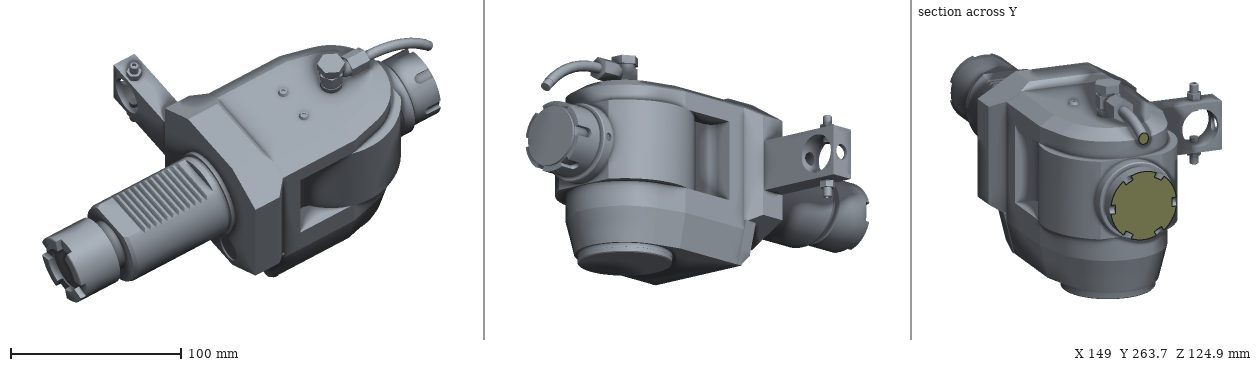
import cadquery as cq
import math


OVERLAP = 1.0

FLANGE_HALF_WIDTH = 47.0
FLANGE_HALF_HEIGHT = 44.0
FLANGE_DEPTH = 25.0
FLANGE_CORNER_RUN = 24.0
FLANGE_CORNER_DROP = FLANGE_CORNER_RUN * math.tan(math.radians(30))
RECESS_RADIUS = 8.7
RECESS_X = 18.5
RECESS_Z = -32.3
RECESS_DEPTH = 1.0

HOUSING_HALF_WIDTH = 39.0
HOUSING_TOP = 40.0
HOUSING_BOTTOM = -59.6
HOUSING_FRONT = 16.4
HOUSING_SIDE_END = 76.0
HOUSING_END_RADIUS = 35.0
TOP_BEVEL_HEIGHT = 5.5
TOP_BEVEL_ANGLE = 60.0
LOWER_TAPER_TOP = -39.0
LOWER_TAPER_ANGLE = 14.0
FOOT_TOP = -33.4
FOOT_PROUD = 0.4
FOOT_CHAMFER = 6.3
COLUMN_Y = 86.0

COLUMN_RADIUS = 41.0
COLUMN_HALF_HEIGHT = 23.9
COLUMN_BACK = 122.0
POCKET_FRONT = 37.6
POCKET_FILLET = 5.6
POCKET_FLOOR_X = 24.0
POCKET_FLOOR_END = 50.3
POCKET_ARC_END_Y = 53.5

BOSS_RADIUS = 28.0
BOSS_BOTTOM = -65.1
BOSS_CHAMFER = 0.6
BOSS_SEAM_Z = -62.1
BOSS_LIP = 0.15

COLLAR_RADIUS = 26.4
COLLAR_LENGTH = 2.5
RELIEF_RADIUS = 24.4
RELIEF_END = -4.1
SHANK_RADIUS = 25.0
SHANK_END = -71.0
SHANK_CHAMFER_LENGTH = 2.4
SHANK_CHAMFER_DEPTH = 0.9
FLAT_Z = 20.0
FLAT_START = -7.8
TOOTH_COUNT = 12
TOOTH_PITCH = 4.0
FIRST_TOOTH_Y = -14.0
TOOTH_WIDTH = 2.8
TOOTH_DEPTH = 1.6

NUT_RADIUS = 21.1
NECK_RADIUS = 15.5
NECK_FLARE_START = -74.0
NECK_FLARE_RADIUS = 17.5
FRONT_NUT_BACK = -78.5
FRONT_NUT_END = -106.0
FRONT_NUT_CHAMFER = 0.5
FRONT_NUT_BORE = 14.0
FRONT_NUT_BORE_DEPTH = 4.5
FRONT_NOTCH_DEPTH = 3.6
FRONT_NOTCH_HALF_ANGLE = 16.0
FRONT_NOTCH_COUNT = 4

NOSE_COLLAR_RADIUS = 23.5
NOSE_COLLAR_END = 130.0
NOSE_COLLAR_CHAMFER = 0.6
NOSE_GROOVE_RADIUS = 20.3
REAR_NUT_START = 131.4
REAR_NUT_SHOULDER = 149.7
REAR_NUT_END = 151.2
REAR_NUT_FACE_RADIUS = 17.7
REAR_SLOT_COUNT = 6
REAR_SLOT_WIDTH = 6.0
REAR_SLOT_BOTTOM = 138.6
REAR_SLOT_DEPTH = 3.0
COLLAR_HOLE_Y = 126.0
COLLAR_HOLE_RADIUS = 2.5
COLLAR_HOLE_DEPTH = 1.5

ARM_END_X = -102.0
ARM_HALF_HEIGHT = 15.0
ARM_FRONT = 1.0
ARM_BACK = 16.0
ARM_BORE_X = -88.2
ARM_BORE_RADIUS = 11.5
ARM_SIDE_HOLE_Y = 9.0
ARM_SIDE_HOLE_RADIUS = 4.6
ARM_FAR_HOLE_RADIUS = 4.0
ARM_FAR_HOLE_DEPTH = 8.0
ARM_PILOT_RADIUS = 1.6
ARM_PILOT_DEPTH = 3.0
STUD_Y = 6.2
STUD_RADIUS = 2.6
STUD_INNER = 8.2
STUD_OUTER = 24.7
STUD_CHAMFER = 0.5
STUD_SOCKET_FLATS = 2.5
STUD_SOCKET_DEPTH = 2.0
STUD_NUT_WIDTH = 9.0
STUD_NUT_HEIGHT = 4.1

FITTING_BASE_RADIUS = 6.5
FITTING_BASE_TOP = 43.4
FITTING_NECK_RADIUS = 6.2
FITTING_BODY_BOTTOM = 45.4
FITTING_BODY_TOP = 52.7
FITTING_BODY_FLATS = 12.9
FITTING_HEAD_BOTTOM = 55.0
FITTING_HEAD_TOP = 59.8
FITTING_HEAD_FLATS = 14.2
OUTLET_Z = 49.0
OUTLET_RADIUS = 5.3
OUTLET_START = 91.0
OUTLET_FILLET = 4.0
OUTLET_NUT_START = 97.2
OUTLET_NUT_END = 109.6
OUTLET_NUT_FLATS = 12.0
HOSE_RADIUS = 3.2
HOSE_BEND_START = 111.6
HOSE_BEND_ANGLE = 49.8
HOSE_REACH = 157.67
HOSE_SEAM_FROM_END = 4.5
HOSE_TIP_RADIUS = 3.0

SCREW_X = 10.8
SCREW_Y = 59.3
SCREW_RADIUS = 3.1
SCREW_TOP_RADIUS = 2.2
SCREW_HEIGHT = 1.6
SCREW_SOCKET_FLATS = 2.5
SCREW_SOCKET_DEPTH = 0.8


def box(x0, x1, y0, y1, z0, z1):
    """Axis-aligned block between two corners."""
    return cq.Workplane("XY").box(x1 - x0, y1 - y0, z1 - z0, centered=False).translate((x0, y0, z0))


def cylinder_y(radius, y0, y1, x=0.0, z=0.0):
    """Cylinder along +Y from y0 to y1."""
    return cq.Workplane(cq.Solid.makeCylinder(radius, y1 - y0, cq.Vector(x, y0, z), cq.Vector(0, 1, 0)))


def cylinder_z(radius, z0, z1, x=0.0, y=0.0):
    """Cylinder along +Z from z0 to z1."""
    return cq.Workplane(cq.Solid.makeCylinder(radius, z1 - z0, cq.Vector(x, y, z0), cq.Vector(0, 0, 1)))


def cylinder_x(radius, x0, x1, y, z=0.0):
    """Cylinder along +X from x0 to x1."""
    return cq.Workplane(cq.Solid.makeCylinder(radius, x1 - x0, cq.Vector(x0, y, z), cq.Vector(1, 0, 0)))


def hexagon_z(corner_diameter, z0, z1, x, y, turn=0.0):
    """Upright hexagonal prism; its corners lie along X unless it is turned."""
    prism = cq.Workplane("XY").polygon(6, corner_diameter).extrude(z1 - z0)
    return prism.rotate((0, 0, 0), (0, 0, 1), turn).translate((x, y, z0))


def over_corners(flats):
    """Corner-to-corner size of a hexagon from its size across flats."""
    return flats / math.cos(math.radians(30))


def revolve_about_y(points):
    """Solid of revolution about the Y axis from (radius, y) points."""
    return cq.Workplane("XY").polyline(points).close().revolve(360, (0, 0, 0), (0, 1, 0))


def make_flange():
    w = FLANGE_HALF_WIDTH
    h = FLANGE_HALF_HEIGHT
    side_z = h - FLANGE_CORNER_DROP
    top_x = w - FLANGE_CORNER_RUN
    octagon = [
        (-w, -side_z), (-top_x, -h), (top_x, -h), (w, -side_z),
        (w, side_z), (top_x, h), (-top_x, h), (-w, side_z),
    ]
    flange = cq.Workplane("XZ").polyline(octagon).close().extrude(-FLANGE_DEPTH)
    side_bevel = w - HOUSING_HALF_WIDTH
    top_bevel = h - HOUSING_TOP
    plan = [
        (-w, 0), (w, 0), (w, FLANGE_DEPTH - side_bevel), (w - side_bevel, FLANGE_DEPTH),
        (side_bevel - w, FLANGE_DEPTH), (-w, FLANGE_DEPTH - side_bevel),
    ]
    profile = [
        (0, -h), (FLANGE_DEPTH - top_bevel, -h), (FLANGE_DEPTH, top_bevel - h),
        (FLANGE_DEPTH, h - top_bevel), (FLANGE_DEPTH - top_bevel, h), (0, h),
    ]
    flange = flange.intersect(cq.Workplane("XY").polyline(plan).close().extrude(h, both=True))
    return flange.intersect(cq.Workplane("YZ").polyline(profile).close().extrude(w, both=True))


def housing_outline(z, front):
    """Plan outline: parallel sides, then tangent flanks running into a round end."""
    side_back = HOUSING_SIDE_END - COLUMN_Y
    corner_distance = math.hypot(HOUSING_HALF_WIDTH, side_back)
    tangent_angle = math.acos(HOUSING_END_RADIUS / corner_distance)
    tangent_angle += math.atan2(side_back, HOUSING_HALF_WIDTH)
    tangent_x = HOUSING_END_RADIUS * math.cos(tangent_angle)
    tangent_y = COLUMN_Y + HOUSING_END_RADIUS * math.sin(tangent_angle)
    return (
        cq.Workplane("XY", origin=(0, 0, z))
        .moveTo(-HOUSING_HALF_WIDTH, front)
        .lineTo(HOUSING_HALF_WIDTH, front)
        .lineTo(HOUSING_HALF_WIDTH, HOUSING_SIDE_END)
        .lineTo(tangent_x, tangent_y)
        .threePointArc((0, COLUMN_Y + HOUSING_END_RADIUS), (-tangent_x, tangent_y))
        .lineTo(-HOUSING_HALF_WIDTH, HOUSING_SIDE_END)
        .close()
    )


def make_upper_housing():
    bevel_z = HOUSING_TOP - TOP_BEVEL_HEIGHT
    straight = housing_outline(LOWER_TAPER_TOP, HOUSING_FRONT).extrude(bevel_z - LOWER_TAPER_TOP)
    bevel_run = TOP_BEVEL_HEIGHT * math.tan(math.radians(TOP_BEVEL_ANGLE))
    cap = housing_outline(bevel_z, HOUSING_FRONT - bevel_run).extrude(TOP_BEVEL_HEIGHT, taper=TOP_BEVEL_ANGLE)
    return straight.union(cap)


def make_lower_housing():
    height = LOWER_TAPER_TOP - HOUSING_BOTTOM
    return (
        housing_outline(-LOWER_TAPER_TOP, HOUSING_FRONT)
        .extrude(height, taper=LOWER_TAPER_ANGLE)
        .mirror("XY")
    )


def make_foot():
    """Block under the flange whose flanks follow the lower taper and whose front edge is chamfered."""
    slope = math.tan(math.radians(LOWER_TAPER_ANGLE))
    top_x = HOUSING_HALF_WIDTH + FOOT_PROUD + (FOOT_TOP - LOWER_TAPER_TOP) * slope
    bottom_x = top_x - (FOOT_TOP - HOUSING_BOTTOM) * slope
    trapezoid = [
        (-top_x, FOOT_TOP), (top_x, FOOT_TOP),
        (bottom_x, HOUSING_BOTTOM), (-bottom_x, HOUSING_BOTTOM),
    ]
    foot = (
        cq.Workplane("XZ", origin=(0, HOUSING_FRONT, 0))
        .polyline(trapezoid)
        .close()
        .extrude(HOUSING_FRONT - FLANGE_DEPTH)
    )
    return foot.faces("<Y").edges("<Z").chamfer(FOOT_CHAMFER)


def pocket_band():
    """Block over the column height, holding everything behind the pocket front wall."""
    reach = COLUMN_RADIUS + OVERLAP
    return box(-reach, reach, POCKET_FRONT, COLUMN_BACK + OVERLAP, -COLUMN_HALF_HEIGHT, COLUMN_HALF_HEIGHT)


def make_column():
    """Round column with a web that joins it to the front wall of the side pockets."""
    column = cylinder_z(COLUMN_RADIUS, -COLUMN_HALF_HEIGHT, COLUMN_HALF_HEIGHT, 0, COLUMN_Y)
    column = column.intersect(
        box(-COLUMN_RADIUS, COLUMN_RADIUS, COLUMN_Y - COLUMN_RADIUS, COLUMN_BACK,
            -COLUMN_HALF_HEIGHT, COLUMN_HALF_HEIGHT)
    )
    arc_end_x = math.sqrt(COLUMN_RADIUS**2 - (COLUMN_Y - POCKET_ARC_END_Y)**2)
    fillet_x = POCKET_FLOOR_X + POCKET_FILLET
    fillet_y = POCKET_FRONT + POCKET_FILLET
    mid = POCKET_FILLET * math.sqrt(0.5)
    web = (
        cq.Workplane("XY", origin=(0, 0, -COLUMN_HALF_HEIGHT))
        .moveTo(0, POCKET_FRONT)
        .lineTo(fillet_x, POCKET_FRONT)
        .threePointArc((fillet_x - mid, fillet_y - mid), (POCKET_FLOOR_X, fillet_y))
        .lineTo(POCKET_FLOOR_X, POCKET_FLOOR_END)
        .lineTo(arc_end_x, POCKET_ARC_END_Y)
        .lineTo(0, COLUMN_Y)
        .close()
        .extrude(2 * COLUMN_HALF_HEIGHT)
    )
    return column.union(web).union(web.mirror("YZ"))


def make_boss():
    upper = cylinder_z(BOSS_RADIUS, BOSS_SEAM_Z, HOUSING_BOTTOM + OVERLAP, 0, COLUMN_Y)
    lip = cylinder_z(BOSS_RADIUS - BOSS_LIP, BOSS_BOTTOM, BOSS_SEAM_Z, 0, COLUMN_Y)
    return upper.union(lip.faces("<Z").chamfer(BOSS_CHAMFER))


def make_shank():
    shank = revolve_about_y([
        (0, OVERLAP), (COLLAR_RADIUS, OVERLAP), (COLLAR_RADIUS, -COLLAR_LENGTH),
        (RELIEF_RADIUS, -COLLAR_LENGTH), (RELIEF_RADIUS, RELIEF_END),
        (SHANK_RADIUS, RELIEF_END), (SHANK_RADIUS, SHANK_END + SHANK_CHAMFER_LENGTH),
        (SHANK_RADIUS - SHANK_CHAMFER_DEPTH, SHANK_END), (0, SHANK_END),
    ])
    shank = shank.cut(box(-SHANK_RADIUS, SHANK_RADIUS, SHANK_END, FLAT_START, FLAT_Z, SHANK_RADIUS))
    half = TOOTH_WIDTH / 2
    for i in range(TOOTH_COUNT):
        y = FIRST_TOOTH_Y - i * TOOTH_PITCH
        valley = [(y - half, FLAT_Z), (y, FLAT_Z - TOOTH_DEPTH), (y + half, FLAT_Z)]
        shank = shank.cut(cq.Workplane("YZ").polyline(valley).close().extrude(SHANK_RADIUS, both=True))
    return shank


def make_front_nut():
    nut = revolve_about_y([
        (0, SHANK_END + OVERLAP), (NECK_RADIUS, SHANK_END + OVERLAP), (NECK_RADIUS, NECK_FLARE_START),
        (NECK_FLARE_RADIUS, FRONT_NUT_BACK), (NUT_RADIUS, FRONT_NUT_BACK),
        (NUT_RADIUS, FRONT_NUT_END + FRONT_NUT_CHAMFER), (NUT_RADIUS - FRONT_NUT_CHAMFER, FRONT_NUT_END),
        (0, FRONT_NUT_END),
    ])
    nut = nut.cut(cylinder_y(FRONT_NUT_BORE, FRONT_NUT_END, FRONT_NUT_END + FRONT_NUT_BORE_DEPTH))
    reach = NUT_RADIUS + OVERLAP
    half_width = reach * math.tan(math.radians(FRONT_NOTCH_HALF_ANGLE))
    notch = (
        cq.Workplane("XZ", origin=(0, FRONT_NUT_END, 0))
        .polyline([(0, 0), (reach, -half_width), (reach, half_width)])
        .close()
        .extrude(-FRONT_NOTCH_DEPTH)
    )
    for i in range(FRONT_NOTCH_COUNT):
        nut = nut.cut(notch.rotate((0, 0, 0), (0, 1, 0), i * 360 / FRONT_NOTCH_COUNT))
    return nut


def make_nose():
    """Spindle collar and slotted clamping nut at the rear."""
    nose = revolve_about_y([
        (0, COLUMN_BACK - OVERLAP), (NOSE_COLLAR_RADIUS - NOSE_COLLAR_CHAMFER, COLUMN_BACK - OVERLAP),
        (NOSE_COLLAR_RADIUS - NOSE_COLLAR_CHAMFER, COLUMN_BACK),
        (NOSE_COLLAR_RADIUS, COLUMN_BACK + NOSE_COLLAR_CHAMFER),
        (NOSE_COLLAR_RADIUS, NOSE_COLLAR_END - NOSE_COLLAR_CHAMFER),
        (NOSE_COLLAR_RADIUS - NOSE_COLLAR_CHAMFER, NOSE_COLLAR_END), (NOSE_GROOVE_RADIUS, NOSE_COLLAR_END),
        (NOSE_GROOVE_RADIUS, REAR_NUT_START), (NUT_RADIUS, REAR_NUT_START),
        (NUT_RADIUS, REAR_NUT_SHOULDER), (REAR_NUT_FACE_RADIUS, REAR_NUT_SHOULDER),
        (REAR_NUT_FACE_RADIUS, REAR_NUT_END), (0, REAR_NUT_END),
    ])
    floor = NUT_RADIUS - REAR_SLOT_DEPTH
    outer = NUT_RADIUS + OVERLAP
    half = REAR_SLOT_WIDTH / 2
    slot = box(floor, outer, REAR_SLOT_BOTTOM + half, REAR_NUT_END, -half, half)
    slot = slot.union(cylinder_x(half, floor, outer, REAR_SLOT_BOTTOM + half))
    for i in range(REAR_SLOT_COUNT):
        nose = nose.cut(slot.rotate((0, 0, 0), (0, 1, 0), i * 360 / REAR_SLOT_COUNT))
    hole_floor = COLLAR_HOLE_DEPTH - NOSE_COLLAR_RADIUS
    return nose.cut(cylinder_x(COLLAR_HOLE_RADIUS, -NOSE_COLLAR_RADIUS - OVERLAP, hole_floor, COLLAR_HOLE_Y))


def make_arm():
    arm = box(ARM_END_X, OVERLAP - FLANGE_HALF_WIDTH, ARM_FRONT, ARM_BACK, -ARM_HALF_HEIGHT, ARM_HALF_HEIGHT)
    arm = arm.cut(cylinder_y(ARM_BORE_RADIUS, ARM_FRONT, ARM_BACK, ARM_BORE_X))
    arm = arm.cut(cylinder_x(ARM_SIDE_HOLE_RADIUS, ARM_END_X, ARM_BORE_X, ARM_SIDE_HOLE_Y))
    far_end = ARM_BORE_X + ARM_BORE_RADIUS + ARM_FAR_HOLE_DEPTH
    arm = arm.cut(cylinder_x(ARM_FAR_HOLE_RADIUS, ARM_BORE_X, far_end, ARM_SIDE_HOLE_Y))
    arm = arm.cut(cylinder_x(ARM_PILOT_RADIUS, far_end, far_end + ARM_PILOT_DEPTH, ARM_SIDE_HOLE_Y))
    stud = cylinder_z(STUD_RADIUS, STUD_INNER, STUD_OUTER, ARM_BORE_X, STUD_Y)
    stud = stud.faces(">Z").chamfer(STUD_CHAMFER)
    stud = stud.cut(hexagon_z(
        over_corners(STUD_SOCKET_FLATS), STUD_OUTER - STUD_SOCKET_DEPTH, STUD_OUTER, ARM_BORE_X, STUD_Y))
    nut_top = ARM_HALF_HEIGHT + STUD_NUT_HEIGHT
    nut = hexagon_z(STUD_NUT_WIDTH, ARM_HALF_HEIGHT - OVERLAP, nut_top, ARM_BORE_X, STUD_Y)
    clamp = stud.union(nut)
    return arm.union(clamp).union(clamp.mirror("XY"))


def make_fitting():
    """Upright banjo fitting with an outlet nut pointing to the rear."""
    base = cylinder_z(FITTING_BASE_RADIUS, HOUSING_TOP - OVERLAP, FITTING_BASE_TOP, 0, COLUMN_Y)
    neck = cylinder_z(FITTING_NECK_RADIUS, FITTING_BASE_TOP, FITTING_HEAD_BOTTOM, 0, COLUMN_Y)
    fitting = base.union(neck)
    fitting = fitting.union(hexagon_z(
        over_corners(FITTING_BODY_FLATS), FITTING_BODY_BOTTOM, FITTING_BODY_TOP, 0, COLUMN_Y, 90))
    fitting = fitting.union(hexagon_z(
        over_corners(FITTING_HEAD_FLATS), FITTING_HEAD_BOTTOM, FITTING_HEAD_TOP, 0, COLUMN_Y))
    outlet = cylinder_y(OUTLET_RADIUS, OUTLET_START, OUTLET_NUT_START, 0, OUTLET_Z)
    fitting = fitting.union(outlet.faces("<Y").edges().fillet(OUTLET_FILLET))
    nut = (
        cq.Workplane("XZ", origin=(0, OUTLET_NUT_START, OUTLET_Z))
        .polygon(6, over_corners(OUTLET_NUT_FLATS))
        .extrude(OUTLET_NUT_START - OUTLET_NUT_END)
        .rotate((0, 0, OUTLET_Z), (0, 1, OUTLET_Z), 90)
    )
    return fitting.union(nut)


def make_hose():
    """Hose that leaves the outlet nut level and bends down in a plain arc."""
    angle = math.radians(HOSE_BEND_ANGLE)
    end_y = HOSE_REACH - HOSE_TIP_RADIUS * math.sin(angle)
    bend_radius = (end_y - HOSE_BEND_START) / math.sin(angle)
    seam_angle = angle - HOSE_SEAM_FROM_END / bend_radius

    def arc_point(turn):
        y = HOSE_BEND_START + bend_radius * math.sin(turn)
        z = OUTLET_Z - bend_radius * (1 - math.cos(turn))
        return y, z

    def bent_tube(radius, start, stop):
        path = cq.Workplane("YZ").moveTo(*arc_point(start))
        path = path.threePointArc(arc_point((start + stop) / 2), arc_point(stop))
        y, z = arc_point(start)
        heading = (0, math.cos(start), -math.sin(start))
        section = cq.Workplane(cq.Plane(origin=(0, y, z), xDir=(1, 0, 0), normal=heading))
        return section.circle(radius).sweep(path)

    level = cylinder_y(HOSE_RADIUS, OUTLET_NUT_END - OVERLAP, HOSE_BEND_START, 0, OUTLET_Z)
    hose = level.union(bent_tube(HOSE_RADIUS, 0, seam_angle))
    return hose.union(bent_tube(HOSE_TIP_RADIUS, seam_angle, angle))


def make_screw(x):
    """Low conical screw head with a hexagon socket."""
    head = cq.Workplane(cq.Solid.makeCone(
        SCREW_RADIUS, SCREW_TOP_RADIUS, SCREW_HEIGHT, cq.Vector(x, SCREW_Y, HOUSING_TOP), cq.Vector(0, 0, 1)))
    head_top = HOUSING_TOP + SCREW_HEIGHT
    socket_floor = head_top - SCREW_SOCKET_DEPTH
    socket = hexagon_z(over_corners(SCREW_SOCKET_FLATS), socket_floor, head_top, x, SCREW_Y)
    return head.cut(socket)


housing = make_upper_housing().union(make_lower_housing()).union(make_foot())
housing = housing.cut(pocket_band()).union(make_column())

result = make_flange().union(housing)
result = result.cut(cylinder_y(RECESS_RADIUS, 0, RECESS_DEPTH, RECESS_X, RECESS_Z))
result = result.union(make_boss())
result = result.union(make_shank())
result = result.union(make_front_nut())
result = result.union(make_nose())
result = result.union(make_arm())
result = result.union(make_fitting())
result = result.union(make_hose())
for screw_x in (-SCREW_X, SCREW_X):
    result = result.union(make_screw(screw_x))